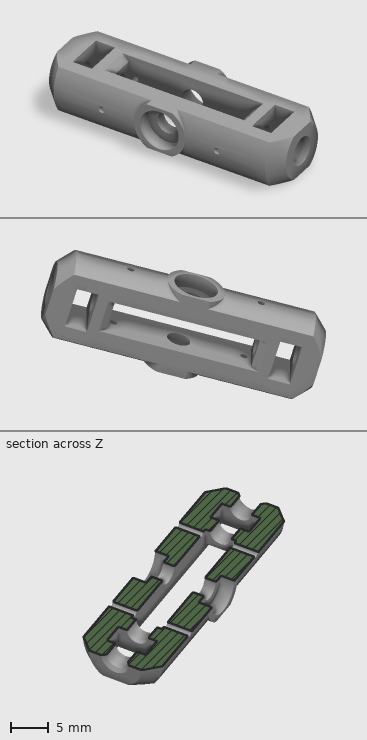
import cadquery as cq

body_length = 37.0
body_diameter = 12.0
body_height = 7.0
end_taper = 2.0

boss_diameter = 8.0
boss_bore_diameter = 6.0
boss_bore_depth = 2.0
cross_hole_diameter = 3.2

axial_hole_diameter = 3.2
countersink_diameter = 4.2
countersink_depth = (countersink_diameter - axial_hole_diameter) / 2

slot_length = 20.0
slot_width = 4.6
slot_bevel = 1.0

pocket_length = 3.0
pocket_width = 5.8
pocket_offset = 14.0

pin_hole_diameter = 1.0
pin_hole_offset = 9.0

half_length = body_length / 2
half_width = body_diameter / 2
half_height = body_height / 2


def cylinder_along_x(diameter, length):
    return cq.Workplane("YZ").circle(diameter / 2).extrude(length / 2, both=True)


def cylinder_along_y(diameter, length, x=0.0):
    return cq.Workplane("XZ").center(x, 0).circle(diameter / 2).extrude(length / 2, both=True)


def make_body():
    """Tapered bar and cross bosses, trimmed to the flat top and bottom."""
    bar = cylinder_along_x(body_diameter, body_length).edges("%CIRCLE").chamfer(end_taper)
    bosses = cylinder_along_y(boss_diameter, body_diameter)
    flats = cq.Workplane("XY").box(body_length, body_diameter, body_height)
    return bar.union(bosses).intersect(flats)


def make_slot():
    """Central slot, widened along X by a 45 degree bevel at both faces."""
    half_slot = slot_length / 2
    half_opening = half_slot + slot_bevel
    bevel_start = half_height - slot_bevel
    return (
        cq.Workplane("XZ")
        .moveTo(-half_opening, half_height)
        .lineTo(half_opening, half_height)
        .lineTo(half_slot, bevel_start)
        .lineTo(half_slot, -bevel_start)
        .lineTo(half_opening, -half_height)
        .lineTo(-half_opening, -half_height)
        .lineTo(-half_slot, -bevel_start)
        .lineTo(-half_slot, bevel_start)
        .close()
        .extrude(slot_width / 2, both=True)
    )


def make_pockets():
    return (
        cq.Workplane("XY")
        .pushPoints([(-pocket_offset, 0), (pocket_offset, 0)])
        .box(pocket_length, pocket_width, body_height)
    )


def make_axial_hole():
    """Hole along the bar, with a countersink at each end face."""
    hole = cylinder_along_x(axial_hole_diameter, body_length)
    for side in (-1, 1):
        countersink = cq.Solid.makeCone(
            countersink_diameter / 2,
            axial_hole_diameter / 2,
            countersink_depth,
            pnt=cq.Vector(side * half_length, 0, 0),
            dir=cq.Vector(-side, 0, 0),
        )
        hole = hole.union(cq.Workplane(countersink))
    return hole


def make_cross_hole():
    """Hole across the bosses, counterbored from both sides."""
    bore_floor = half_width - boss_bore_depth
    counterbores = cylinder_along_y(boss_bore_diameter, body_diameter).cut(
        cylinder_along_y(boss_bore_diameter, 2 * bore_floor)
    )
    return cylinder_along_y(cross_hole_diameter, body_diameter).union(counterbores)


def make_pin_holes():
    left_hole = cylinder_along_y(pin_hole_diameter, body_diameter, -pin_hole_offset)
    right_hole = cylinder_along_y(pin_hole_diameter, body_diameter, pin_hole_offset)
    return left_hole.union(right_hole)


result = (
    make_body()
    .cut(make_slot())
    .cut(make_pockets())
    .cut(make_axial_hole())
    .cut(make_cross_hole())
    .cut(make_pin_holes())
)